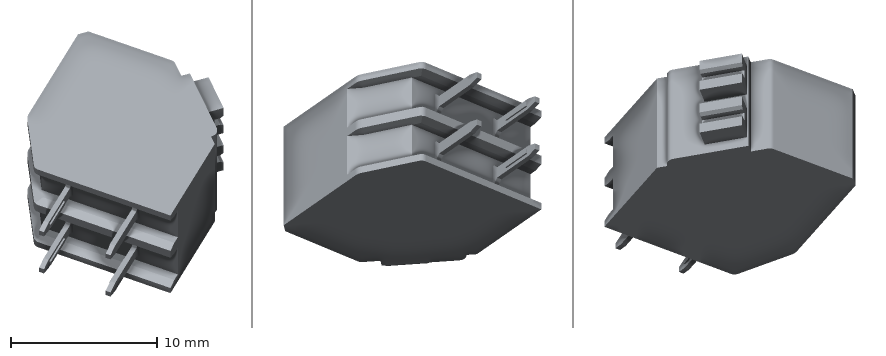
import cadquery as cq
import math


TOTAL_LENGTH = 16.72

HOUSING_WIDTH = 12.7
HOUSING_LENGTH = 12.9
HOUSING_HEIGHT = 8.01
BACK_CHAMFER = 0.54
LOWER_CUT_X = 2.44
LOWER_CUT_Y = 4.08
LOWER_FOOT_RADIUS = 0.5
LOWER_SIDE_RADIUS = 1.0

BEVEL_SUM = 19.91
RAISED_SUM = 20.8
RAISED_RISE = (RAISED_SUM - BEVEL_SUM) / 2
RAISED_START_X = 8.01
RAISED_END_X = 12.19
RAISED_END_RADIUS = 0.59
BEVEL_RADIUS = 0.5

POLE_PITCH = 3.83
POLE_CENTERS = [HOUSING_HEIGHT / 2 + side * POLE_PITCH / 2 for side in (-1, 1)]

RECESS_DEPTH = 1.2
RECESS_WIDTH = 2.76
RIB_CHAMFER_HEIGHT = 0.18
RIB_CHAMFER_WIDTH = 0.64

BUTTON_LENGTH = 3.0
BUTTON_WIDTH = 2.59
BUTTON_HEIGHT = 1.32
BUTTON_START_X = 8.53
BUTTON_TOP_Y = RAISED_SUM - BUTTON_START_X + BUTTON_HEIGHT * math.sin(math.radians(45))
BUTTON_SLOT_WIDTH = 0.67
BUTTON_SLOT_DEPTH = BUTTON_HEIGHT / 2
SLOT_CHAMFER_WIDTH = 0.17
SLOT_CHAMFER_DEPTH = 0.25

PIN_CENTERS_X = [4.61, 9.63]
PIN_THICKNESS = 0.37
PIN_HALF_WIDTH = 0.42
PIN_TIP_HALF_WIDTH = 0.22
PIN_TIP_Y = BUTTON_TOP_Y - TOTAL_LENGTH
PIN_TAPER_Y = -2.75
PIN_SHOULDER_HALF_WIDTH = 0.75
PIN_SHOULDER_Y = 1.05
PIN_SHANK_Y = PIN_SHOULDER_Y - (PIN_SHOULDER_HALF_WIDTH - PIN_HALF_WIDTH)
PIN_EMBED = 0.33
PIN_RIDGE_HEIGHT = 0.12
PIN_RIDGE_WIDTH = 0.33
PIN_RIDGE_START_Y = -2.65
PIN_RIDGE_END_Y = -0.33


def prism(points, bottom, top):
    """Polygon in XY extruded from z = bottom to z = top."""
    return cq.Workplane("XY").workplane(offset=bottom).polyline(points).close().extrude(top - bottom)


def round_edge(solid, point, radius):
    """Fillet the Z-parallel edge that passes nearest to the XY point."""
    x, y = point
    return solid.edges("|Z").edges(cq.NearestToPointSelector((x, y, HOUSING_HEIGHT / 2))).fillet(radius)


def make_envelope():
    """Full housing outline over the whole height, before the recesses."""
    raised_corner = (RAISED_END_X + RAISED_RISE, RAISED_SUM - RAISED_END_X - RAISED_RISE)
    bevel_corner = (BEVEL_SUM - HOUSING_LENGTH, HOUSING_LENGTH)
    side_corner = (0, LOWER_CUT_Y)
    foot_corner = (LOWER_CUT_X, 0)
    outline = [
        foot_corner,
        (HOUSING_WIDTH, 0),
        (HOUSING_WIDTH, BEVEL_SUM - HOUSING_WIDTH),
        (RAISED_END_X, BEVEL_SUM - RAISED_END_X),
        raised_corner,
        (RAISED_START_X + RAISED_RISE, RAISED_SUM - RAISED_START_X - RAISED_RISE),
        (RAISED_START_X, BEVEL_SUM - RAISED_START_X),
        bevel_corner,
        (BACK_CHAMFER, HOUSING_LENGTH),
        (0, HOUSING_LENGTH - BACK_CHAMFER),
        side_corner,
    ]
    envelope = prism(outline, 0, HOUSING_HEIGHT)
    envelope = round_edge(envelope, raised_corner, RAISED_END_RADIUS)
    envelope = round_edge(envelope, bevel_corner, BEVEL_RADIUS)
    envelope = round_edge(envelope, side_corner, LOWER_SIDE_RADIUS)
    return round_edge(envelope, foot_corner, LOWER_FOOT_RADIUS)


def make_rib_slope(right_x):
    """Sloping edge of a rib along the lower housing corner, from x = right_x around to the side."""
    taper = math.degrees(math.atan(RIB_CHAMFER_WIDTH / RIB_CHAMFER_HEIGHT))
    cut_angle = math.atan2(LOWER_CUT_Y, LOWER_CUT_X)
    cut_x = math.cos(cut_angle)
    cut_y = math.sin(cut_angle)
    side_length = LOWER_SIDE_RADIUS * math.tan((math.pi / 2 - cut_angle) / 2)
    return (
        cq.Workplane("XY")
        .moveTo(right_x, 0)
        .lineTo(right_x, HOUSING_LENGTH)
        .lineTo(0, HOUSING_LENGTH)
        .lineTo(0, LOWER_CUT_Y + side_length)
        .tangentArcPoint((side_length * cut_x, LOWER_CUT_Y - side_length * cut_y), relative=False)
        .lineTo(LOWER_CUT_X, 0)
        .close()
        .extrude(RIB_CHAMFER_HEIGHT, taper=taper)
    )


def make_recess(center_z):
    """Space in front of the core, between two ribs with sloping inner edges."""
    margin = 2 * RECESS_DEPTH
    half_width = RECESS_WIDTH / 2
    recess = prism(
        [
            (-margin, -margin),
            (HOUSING_WIDTH + margin, -margin),
            (HOUSING_WIDTH + margin, RECESS_DEPTH),
            (LOWER_CUT_X, RECESS_DEPTH),
            (0, LOWER_CUT_Y + RECESS_DEPTH),
            (-margin, LOWER_CUT_Y + RECESS_DEPTH),
        ],
        center_z - half_width - RIB_CHAMFER_HEIGHT,
        center_z + half_width + RIB_CHAMFER_HEIGHT,
    )
    for side in (-1, 1):
        slope = make_rib_slope(HOUSING_WIDTH + margin)
        if side > 0:
            slope = slope.mirror("XY")
        rib_edge_z = center_z + side * (half_width + RIB_CHAMFER_HEIGHT)
        recess = recess.cut(slope.translate((0, 0, rib_edge_z)))
    return recess


def make_button(center_z):
    """Slotted push button standing on the raised 45 degree face."""
    half_width = BUTTON_WIDTH / 2
    half_slot = BUTTON_SLOT_WIDTH / 2
    half_mouth = half_slot + SLOT_CHAMFER_WIDTH
    slot_floor = BUTTON_HEIGHT - BUTTON_SLOT_DEPTH
    chamfer_start = BUTTON_HEIGHT - SLOT_CHAMFER_DEPTH
    plane = cq.Plane(
        origin=(BUTTON_START_X, RAISED_SUM - BUTTON_START_X, center_z),
        xDir=(1, 1, 0),
        normal=(1, -1, 0),
    )
    section = [
        (-BUTTON_HEIGHT, -half_width),
        (BUTTON_HEIGHT, -half_width),
        (BUTTON_HEIGHT, -half_mouth),
        (chamfer_start, -half_slot),
        (slot_floor, -half_slot),
        (slot_floor, half_slot),
        (chamfer_start, half_slot),
        (BUTTON_HEIGHT, half_mouth),
        (BUTTON_HEIGHT, half_width),
        (-BUTTON_HEIGHT, half_width),
    ]
    return cq.Workplane(plane).polyline(section).close().extrude(BUTTON_LENGTH)


def make_pin(center_x, center_z, ridge_side):
    """Flat pin with shoulders at the root, a tapered tip and a ridge on one face."""
    half_profile = [
        (PIN_TIP_Y, PIN_TIP_HALF_WIDTH),
        (PIN_TAPER_Y, PIN_HALF_WIDTH),
        (PIN_SHANK_Y, PIN_HALF_WIDTH),
        (PIN_SHOULDER_Y, PIN_SHOULDER_HALF_WIDTH),
        (RECESS_DEPTH + PIN_EMBED, PIN_SHOULDER_HALF_WIDTH),
    ]
    profile = half_profile + [(y, -z) for y, z in reversed(half_profile)]
    blade = cq.Workplane("YZ").polyline(profile).close().extrude(PIN_THICKNESS / 2, both=True)
    ridge = cq.Workplane("XY").box(
        PIN_THICKNESS / 2 + PIN_RIDGE_HEIGHT,
        PIN_RIDGE_END_Y - PIN_RIDGE_START_Y,
        PIN_RIDGE_WIDTH,
    )
    ridge_x = ridge_side * (PIN_THICKNESS / 2 + PIN_RIDGE_HEIGHT) / 2
    ridge = ridge.translate((ridge_x, (PIN_RIDGE_START_Y + PIN_RIDGE_END_Y) / 2, 0))
    return blade.union(ridge).translate((center_x, 0, center_z))


result = make_envelope()
for pole_z in POLE_CENTERS:
    result = result.cut(make_recess(pole_z))
    result = result.union(make_button(pole_z))
    for pin_x, ridge_side in zip(PIN_CENTERS_X, (1, -1)):
        result = result.union(make_pin(pin_x, pole_z, ridge_side))